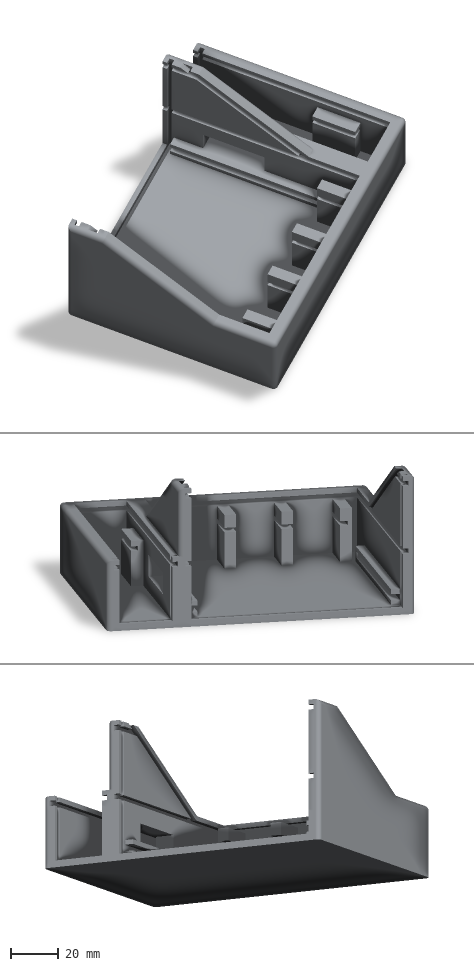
import cadquery as cq
import math

LENGTH_X = 97.0
WIDTH_Y = 133.0
HEIGHT_Z = 60.5

BASE_HEIGHT = 30.9
WALL = 5.3
FLOOR = 2.9
EDGE_RADIUS = 2.0
DIVIDER = 8.2
SMALL_BAY_WIDTH = 22.7
SLOPE_START_X = 16.9
SLOPE_ANGLE = 30.0
OVERCUT = 6.6
OVERLAP = 1.3
NEAR = 0.1

LID_SLOT_WIDTH = 2.3
SLOT_DEPTH = 2.5
LID_COVER = 2.0
PANEL_COVER = 2.1
PANEL_SLOT_WIDTH = 2.1
PANEL_FLOOR_DEPTH = 2.3

POST_LENGTH = 15.0
POST_TOP_GAP = 0.1
POST_WIDTH = 5.0
POST_PITCH_INNER = 24.6
POST_PITCH_OUTER = 75.4
POST_NOTCH_Z = 18.9
BOARD_THICKNESS = 2.0
MAIN_BOARD_WIDTH = 77.0

BLOCK_X = 57.9
BLOCK_LENGTH = 20.0
BLOCK_WIDTH = 5.3
BLOCK_TOP = 22.7
BLOCK_NOTCH_Z = 18.4
DIVIDER_NOTCH_DEPTH = 2.9
OUTER_NOTCH_DEPTH = 4.9

RAIL_X = 5.3
RAIL_WIDTH = 3.9
RAIL_BAR = 2.0
RAIL_GAP = 2.8
RAIL_END_CAP = 1.5

WINDOW_X = 18.9
WINDOW_LENGTH = 28.6
WINDOW_HEIGHT = 9.5

bay_end_x = LENGTH_X - WALL
small_bay_y = WIDTH_Y - WALL - SMALL_BAY_WIDTH
main_bay_top_y = small_bay_y - DIVIDER
main_bay_width = main_bay_top_y - WALL
main_bay_mid_y = WALL + main_bay_width / 2
lid_slot_z = BASE_HEIGHT - LID_COVER - LID_SLOT_WIDTH
slope_tan = math.tan(math.radians(SLOPE_ANGLE))
slope_cos = math.cos(math.radians(SLOPE_ANGLE))
rail_top = FLOOR + 2 * RAIL_BAR + RAIL_GAP
post_x = bay_end_x - POST_LENGTH


def slope_x(z, depth=0.0):
    """X at height z on the slope, or on a line sunk square to it by a depth."""
    return SLOPE_START_X + (HEIGHT_Z - z - depth / slope_cos) / slope_tan


def block(x, y, z):
    """Box given as three (low, high) ranges."""
    box = cq.Workplane("XY").box(x[1] - x[0], y[1] - y[0], z[1] - z[0], centered=False)
    return box.translate((x[0], y[0], z[0]))


def side_profile(points, y_low, y_high):
    """Extrude an outline in X and Z between two Y positions."""
    return (
        cq.Workplane("XZ", origin=(0, y_low, 0))
        .polyline(points)
        .close()
        .extrude(y_low - y_high)
    )


def box_edges(body, low, high):
    """Edges whose centres lie inside a box."""
    return body.edges(cq.selectors.BoxSelector(low, high))


def base_body():
    """Solid base and the tall low-Y wall, with rounded outer edges."""
    body = block((0, LENGTH_X), (0, WIDTH_Y), (0, BASE_HEIGHT))
    outline = [
        (0, 0),
        (LENGTH_X, 0),
        (LENGTH_X, BASE_HEIGHT),
        (slope_x(BASE_HEIGHT), BASE_HEIGHT),
        (SLOPE_START_X, HEIGHT_Z),
        (0, HEIGHT_Z),
    ]
    body = body.union(side_profile(outline, 0, WALL)).clean()
    right = LENGTH_X + NEAR
    back = WIDTH_Y + NEAR
    front_edges = box_edges(body, (-NEAR, -NEAR, NEAR), (right, NEAR, HEIGHT_Z + NEAR))
    back_edges = box_edges(body, (-NEAR, WIDTH_Y - NEAR, NEAR), (right, back, HEIGHT_Z))
    end_edge = box_edges(body, (bay_end_x, NEAR, BASE_HEIGHT - NEAR), (right, WIDTH_Y - NEAR, HEIGHT_Z))
    rounded = front_edges.vals() + back_edges.vals() + end_edge.vals()
    return body.newObject(rounded).fillet(EDGE_RADIUS)


def divider_wall():
    """Tall wall on the divider, rounded on the side of the small bay."""
    foot = BASE_HEIGHT - 2 * EDGE_RADIUS
    outline = [
        (0, foot),
        (slope_x(foot), foot),
        (SLOPE_START_X, HEIGHT_Z),
        (0, HEIGHT_Z),
    ]
    y_high = main_bay_top_y + WALL
    wall = side_profile(outline, main_bay_top_y, y_high)
    wall = wall.faces(">Y").edges("not <Z").fillet(EDGE_RADIUS)
    keep = block((0, LENGTH_X), (main_bay_top_y, y_high), (BASE_HEIGHT - OVERLAP, HEIGHT_Z))
    return wall.intersect(keep)


def bay_cutter(y_low, y_high, top):
    """Bay open at the top and at the low-X end, with its lid slot and panel slot."""
    slot_y = (y_low - SLOT_DEPTH, y_high + SLOT_DEPTH)
    lid_z = (lid_slot_z, lid_slot_z + LID_SLOT_WIDTH)
    panel_x = (PANEL_COVER, PANEL_COVER + PANEL_SLOT_WIDTH)
    bay = block((-OVERCUT, bay_end_x), (y_low, y_high), (FLOOR, top))
    lid = block((-OVERCUT, bay_end_x + SLOT_DEPTH), slot_y, lid_z)
    panel = block(panel_x, slot_y, (FLOOR - PANEL_FLOOR_DEPTH, top))
    return bay.union(lid).union(panel)


def upper_lid_cutter():
    """Slots under the flat top and along the slope of the two tall walls."""
    y_low = WALL - SLOT_DEPTH
    y_high = main_bay_top_y + SLOT_DEPTH
    flat_top = HEIGHT_Z - LID_COVER
    flat_end_x = slope_x(flat_top, LID_COVER)
    flat = block((-OVERCUT, flat_end_x), (y_low, y_high), (flat_top - LID_SLOT_WIDTH, flat_top))

    low_z = lid_slot_z + LID_SLOT_WIDTH / 2
    high_z = HEIGHT_Z + OVERCUT
    deep = LID_COVER + LID_SLOT_WIDTH
    outline = [
        (slope_x(low_z, LID_COVER), low_z),
        (slope_x(high_z, LID_COVER), high_z),
        (slope_x(high_z, deep), high_z),
        (slope_x(low_z, deep), low_z),
    ]
    return flat.union(side_profile(outline, y_low, y_high))


def posts():
    """Four posts on the high-X wall, grooved to hold a board."""
    row = cq.Workplane("XY")
    post_span = (post_x, bay_end_x + OVERLAP)
    post_z = (FLOOR - OVERLAP, lid_slot_z - POST_TOP_GAP)
    for pitch in (POST_PITCH_INNER, POST_PITCH_OUTER):
        for side in (-1, 1):
            middle = main_bay_mid_y + side * pitch / 2
            post_y = (middle - POST_WIDTH / 2, middle + POST_WIDTH / 2)
            row = row.union(block(post_span, post_y, post_z))
    half = MAIN_BOARD_WIDTH / 2
    board = block(
        (post_x, bay_end_x),
        (main_bay_mid_y - half, main_bay_mid_y + half),
        (POST_NOTCH_Z, POST_NOTCH_Z + BOARD_THICKNESS),
    )
    return row.cut(board)


def small_bay_blocks():
    """Two facing blocks in the small bay, notched to hold a board."""
    x = (BLOCK_X, BLOCK_X + BLOCK_LENGTH)
    y_high = WIDTH_Y - WALL
    near_edge = small_bay_y + BLOCK_WIDTH
    far_edge = y_high - BLOCK_WIDTH
    z = (FLOOR - OVERLAP, BLOCK_TOP)
    pair = block(x, (small_bay_y - OVERLAP, near_edge), z)
    pair = pair.union(block(x, (far_edge, y_high + OVERLAP), z))
    board_y = (near_edge - DIVIDER_NOTCH_DEPTH, far_edge + OUTER_NOTCH_DEPTH)
    return pair.cut(block(x, board_y, (BLOCK_NOTCH_Z, BLOCK_NOTCH_Z + BOARD_THICKNESS)))


def rails():
    """Grooved rails on both sides of the main bay, closed at the high-X end."""
    pair = cq.Workplane("XY")
    gap_z = FLOOR + RAIL_BAR
    for y_low in (WALL, main_bay_top_y - RAIL_WIDTH):
        y = (y_low, y_low + RAIL_WIDTH)
        rail = block((RAIL_X, post_x), y, (FLOOR, rail_top))
        gap = block((RAIL_X, post_x - RAIL_END_CAP), y, (gap_z, gap_z + RAIL_GAP))
        pair = pair.union(rail.cut(gap))
    return pair


window = block(
    (WINDOW_X, WINDOW_X + WINDOW_LENGTH),
    (main_bay_top_y, small_bay_y),
    (rail_top, rail_top + WINDOW_HEIGHT),
)

result = (
    base_body()
    .union(divider_wall())
    .cut(bay_cutter(WALL, main_bay_top_y, HEIGHT_Z + OVERCUT))
    .cut(bay_cutter(small_bay_y, WIDTH_Y - WALL, BASE_HEIGHT + OVERCUT))
    .cut(upper_lid_cutter())
    .cut(window)
    .union(posts())
    .union(small_bay_blocks())
    .union(rails())
)